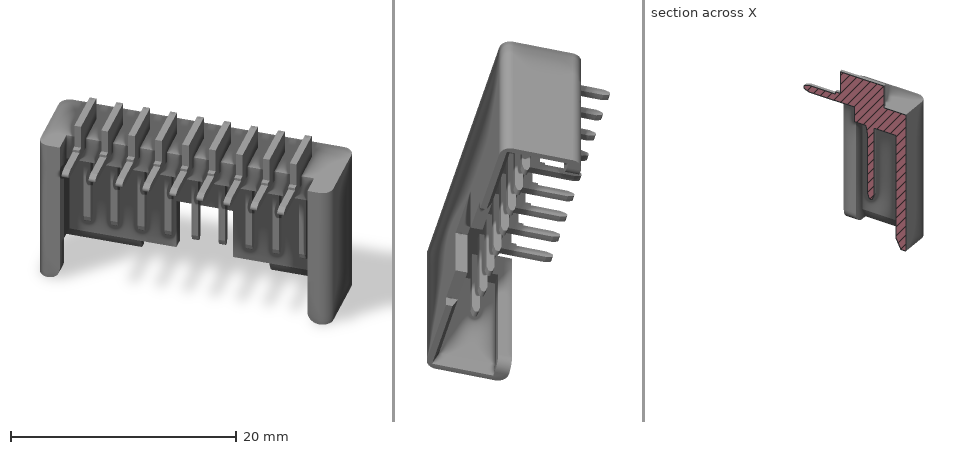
import cadquery as cq


length = 27.2
depth = 7.5
height = 14.2
corner_radius = 1.0
lip_span = 23.0
lip_depth = 1.28
roof_thickness = 2.5
roof_setback = 2.05
cavity_span = 25.2
back_wall = 1.1
mouth_height = 1.0
mouth_flare = mouth_height / 2
window_width = 5.28
window_height = 5.98
bottom_notch_width = 11.97

pin_count = 9
pitch = 2.5
pin_width = 0.63
pin_thickness = 0.73
tip_length = 0.63
tip_inset = 0.2
tip_radius = 0.22

blade_rise = 2.25
blade_front = 0.55
blade_back = 5.17
shoulder_front = 0.05
tail_end = -3.3
tail_drop = 0.25

contact_front = 3.4
contact_bottom = 4.15
collar_height = 0.14
collar_taper_height = 0.65
collar_step = 0.14

cavity_back = depth - back_wall
roof_bottom = height - roof_thickness
lip_rounding = (cavity_span - lip_span) / 2


def block(x_size, y_range, z_range):
    """Box centred on X = 0 between the given Y and Z limits."""
    y_low, y_high = y_range
    z_low, z_high = z_range
    box = cq.Workplane("XY").box(x_size, y_high - y_low, z_high - z_low, centered=(True, False, False))
    return box.translate((0, y_low, z_low))


def make_mouth():
    """Flare of the cavity at the bottom: sides and back lean outward, the front stays upright."""
    flared_back = cavity_back + mouth_flare
    return (
        cq.Workplane("XY")
        .center(0, (lip_depth + flared_back) / 2)
        .rect(cavity_span + 2 * mouth_flare, flared_back - lip_depth)
        .workplane(offset=mouth_height)
        .center(0, -mouth_flare / 2)
        .rect(cavity_span, cavity_back - lip_depth)
        .loft(ruled=True)
    )


def make_lip_gap():
    """Opening between the lips, widening in a rounded curve at the bottom."""
    gap = block(lip_span, (0, lip_depth), (0, roof_bottom))
    foot = block(cavity_span, (0, lip_depth), (0, lip_rounding))
    for side in (-1, 1):
        rounding = (
            cq.Workplane("XZ")
            .center(side * cavity_span / 2, lip_rounding)
            .circle(lip_rounding)
            .extrude(-lip_depth)
        )
        foot = foot.cut(rounding)
    return gap.union(foot)


def make_housing():
    housing = block(length, (0, depth), (0, height)).edges("|Z").fillet(corner_radius)
    housing = housing.cut(block(lip_span, (0, roof_setback), (roof_bottom, height)))
    housing = housing.cut(block(cavity_span, (lip_depth, cavity_back), (0, roof_bottom)))
    housing = housing.cut(make_mouth())
    housing = housing.cut(make_lip_gap())
    housing = housing.cut(block(window_width, (lip_depth, depth), (0, window_height)))
    return housing.cut(block(bottom_notch_width, (lip_depth, depth), (0, mouth_height)))


def extrude_pin(profile):
    """Extrude a closed YZ profile over the pin width, centred on X = 0."""
    return profile.close().extrude(pin_width / 2, both=True)


def make_tail():
    """Upright blade with a shoulder and a solder tail pointing to -Y."""
    top = height - tail_drop
    bottom = top - pin_thickness
    taper_start = tail_end + tip_length
    blade_top = height + blade_rise
    tail = extrude_pin(
        cq.Workplane("YZ")
        .moveTo(blade_back, bottom)
        .lineTo(blade_back, blade_top)
        .lineTo(blade_front, blade_top)
        .lineTo(blade_front, height)
        .lineTo(shoulder_front, height)
        .lineTo(shoulder_front, top)
        .lineTo(taper_start, top)
        .lineTo(tail_end, top - tip_inset)
        .lineTo(tail_end, bottom + tip_inset)
        .lineTo(taper_start, bottom)
    )
    return tail.faces("<Y").edges("|X").fillet(tip_radius)


def make_contact():
    """Contact pin hanging from the roof, thickened at its root and tapered at its tip."""
    back = contact_front + pin_thickness
    taper_start = contact_bottom + tip_length
    collar_bottom = roof_bottom - collar_height
    contact = extrude_pin(
        cq.Workplane("YZ")
        .moveTo(back, roof_bottom)
        .lineTo(contact_front - collar_step, roof_bottom)
        .lineTo(contact_front - collar_step, collar_bottom)
        .lineTo(contact_front, collar_bottom - collar_taper_height)
        .lineTo(contact_front, taper_start)
        .lineTo(contact_front + tip_inset, contact_bottom)
        .lineTo(back - tip_inset, contact_bottom)
        .lineTo(back, taper_start)
    )
    return contact.faces("<Z").edges("|X").fillet(tip_radius)


result = make_housing()
pin = make_tail().union(make_contact())
for index in range(pin_count):
    offset = (index - (pin_count - 1) / 2) * pitch
    result = result.union(pin.translate((offset, 0, 0)))